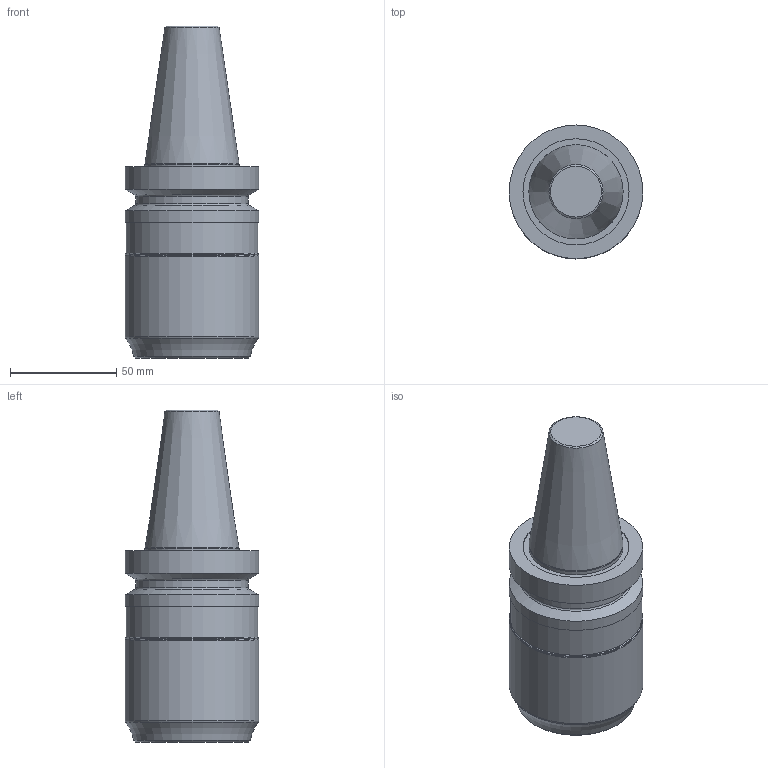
import cadquery as cq
import math


gauge_radius = 44.45 / 2
taper_length = 65.4
taper_ratio = 7 / 24
tip_chamfer_width = 0.7
tip_chamfer_height = 0.5
taper_base_height = 0.75
collar_radius = 22.2
collar_top = 0.2

flange_radius = 63 / 2
flange_top = -1.0
flange_bottom = -27.0
face_recess_radius = 25.0
face_recess_depth = 0.5
groove_middle = -16.6
groove_mouth = 10.2
groove_flank_angle = math.radians(30)
groove_root_radius = 26.5
groove_root_fillet = 1.0

neck_radius = 31.0
nut_radius = flange_radius
nut_top = -41.7
nut_chamfer = 0.4
seam_width = 0.9
seam_depth = 0.2
nut_bottom = -91.0

flare_height = 10.1
flare_lip = 0.9
flare_lip_width = 0.3
flare_end_radius = 27.4
flare_curve_radius = 20.0
nose_chamfer_width = 0.8
nose_chamfer_height = 0.8


def revolve(profile):
    """Close a half profile on the Z axis and turn it into a solid."""
    return profile.close().revolve(360, (0, 0, 0), (0, 1, 0))


def taper_radius(height):
    """Radius of the cone at a height above the gauge plane."""
    return gauge_radius - height * taper_ratio / 2


def taper_shank():
    """Cone with a bevelled tip and a short collar that reaches down into the flange."""
    collar_foot = flange_top - face_recess_depth
    bevel_height = taper_length - tip_chamfer_height
    return revolve(
        cq.Workplane("XZ")
        .moveTo(0, collar_foot)
        .lineTo(collar_radius, collar_foot)
        .lineTo(collar_radius, collar_top)
        .lineTo(taper_radius(taper_base_height), taper_base_height)
        .lineTo(taper_radius(bevel_height), bevel_height)
        .lineTo(taper_radius(taper_length) - tip_chamfer_width, taper_length)
        .lineTo(0, taper_length)
    )


def flange():
    """Disc with a recessed upper face and a gripper groove around its rim."""
    recess_floor = flange_top - face_recess_depth
    mouth = groove_mouth / 2
    flank_height = (flange_radius - groove_root_radius) * math.tan(groove_flank_angle)
    tangent_length = groove_root_fillet * math.tan((math.pi / 2 - groove_flank_angle) / 2)
    root = mouth - flank_height - tangent_length
    shoulder = mouth - flank_height + tangent_length * math.sin(groove_flank_angle)
    shoulder_radius = groove_root_radius + tangent_length * math.cos(groove_flank_angle)
    return revolve(
        cq.Workplane("XZ")
        .moveTo(0, recess_floor)
        .lineTo(face_recess_radius, recess_floor)
        .lineTo(face_recess_radius, flange_top)
        .lineTo(flange_radius, flange_top)
        .lineTo(flange_radius, groove_middle + mouth)
        .lineTo(shoulder_radius, groove_middle + shoulder)
        .radiusArc((groove_root_radius, groove_middle + root), -groove_root_fillet)
        .lineTo(groove_root_radius, groove_middle - root)
        .radiusArc((shoulder_radius, groove_middle - shoulder), -groove_root_fillet)
        .lineTo(flange_radius, groove_middle - mouth)
        .lineTo(flange_radius, flange_bottom)
        .lineTo(0, flange_bottom)
    )


def neck():
    """Plain cylinder between the flange and the nut."""
    height = flange_bottom - nut_top
    return cq.Workplane("XY").workplane(offset=nut_top).circle(neck_radius).extrude(height)


def clamping_nut():
    """Cylinder with a bevelled top edge, a fine V seam and a concave flare narrowing to the nose."""
    seam_top = nut_top - nut_chamfer
    flare_top = nut_bottom + flare_height
    flare_bottom = nut_bottom + nose_chamfer_height
    flare_start = (nut_radius - flare_lip_width, flare_top - flare_lip)
    return revolve(
        cq.Workplane("XZ")
        .moveTo(0, nut_top)
        .lineTo(nut_radius - nut_chamfer, nut_top)
        .lineTo(nut_radius, seam_top)
        .lineTo(nut_radius - seam_depth, seam_top - seam_width / 2)
        .lineTo(nut_radius, seam_top - seam_width)
        .lineTo(nut_radius, flare_top)
        .lineTo(*flare_start)
        .radiusArc((flare_end_radius, flare_bottom), -flare_curve_radius)
        .lineTo(flare_end_radius - nose_chamfer_width, nut_bottom)
        .lineTo(0, nut_bottom)
    )


result = taper_shank().union(flange()).union(neck()).union(clamping_nut())